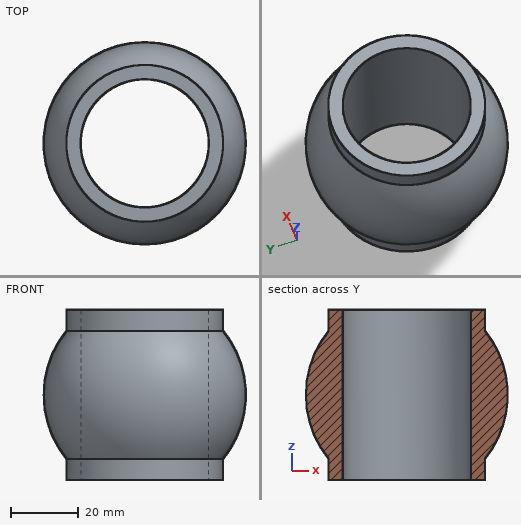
import cadquery as cq
import math

ball_diameter = 60.3
total_height = 50.8
collar_height = 6.35
bore_diameter = 38.1

ball_radius = ball_diameter / 2
half_height = total_height / 2
ball_half_height = half_height - collar_height
collar_radius = math.sqrt(ball_radius**2 - ball_half_height**2)
bore_radius = bore_diameter / 2

half_section = (
    cq.Workplane("XZ")
    .moveTo(bore_radius, -half_height)
    .lineTo(collar_radius, -half_height)
    .lineTo(collar_radius, -ball_half_height)
    .threePointArc((ball_radius, 0), (collar_radius, ball_half_height))
    .lineTo(collar_radius, half_height)
    .lineTo(bore_radius, half_height)
    .close()
)

result = half_section.revolve(360, (0, 0, 0), (0, 1, 0))